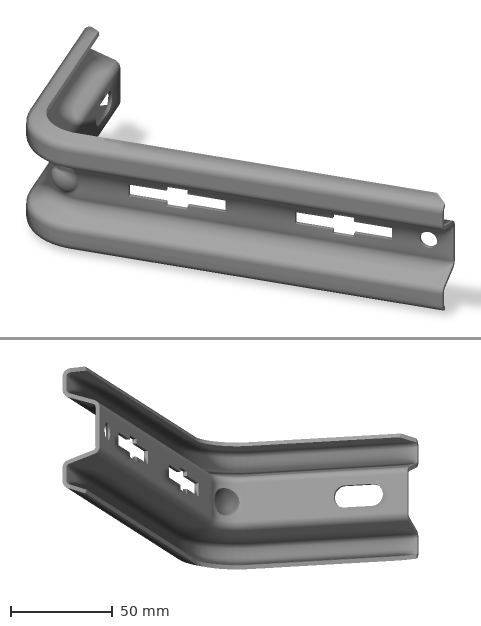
import cadquery as cq
import math

long_leg = 224.0
short_leg = 115.0
height = 63.5

sheet = 2.0
section_depth = 19.0
lip_edge_depth = 9.9
lip_slope = math.radians(15)
flange_slope = math.radians(18)
web_flat_height = 19.3
inside_fold_radius = 2.0
outside_fold_radius = inside_fold_radius + sheet
lip_corner_z = height / 2 - lip_edge_depth * math.tan(lip_slope)

bend_radius = 31.4

lip_trim = 6.0

slot_length = 50.0
slot_height = 6.5
slot_window = 11.0
slot_end_distance = 57.0
slot_pitch = 86.0
slot_count = 2
round_hole_diameter = 9.0
round_hole_end_distance = 13.0
obround_length = 25.0
obround_height = 11.0
obround_end_distance = 25.0

dome_radius = 9.0
dome_center_radius = 11.2
dome_base_fillet = 1.0
selection_margin = 0.2
dome_place = bend_radius - dome_center_radius * math.sqrt(0.5)


def rounded_outline(workplane, corners):
    """Close an outline through (x, y, radius) corners, rounding those with a radius."""
    count = len(corners)
    for i, (x, y, radius) in enumerate(corners):
        corner = cq.Vector(x, y)
        to_previous = (cq.Vector(*corners[i - 1][:2]) - corner).normalized()
        to_next = (cq.Vector(*corners[(i + 1) % count][:2]) - corner).normalized()
        half_angle = to_previous.getAngle(to_next) / 2
        setback = radius / math.tan(half_angle)
        bisector = (to_previous + to_next).normalized()
        start = corner + to_previous * setback
        middle = corner + bisector * (radius / math.sin(half_angle) - radius)
        end = corner + to_next * setback
        if i == 0:
            workplane = workplane.moveTo(start.x, start.y)
        else:
            workplane = workplane.lineTo(start.x, start.y)
        if radius > 0:
            workplane = workplane.threePointArc((middle.x, middle.y), (end.x, end.y))
    return workplane.close()


def section_corners():
    """Corners (depth, z, radius) around the closed sheet section."""
    web_front = section_depth - sheet
    web_setback = inside_fold_radius * math.tan((math.pi / 2 - flange_slope) / 2)
    web_corner_z = web_flat_height / 2 + web_setback
    flange_corner_z = web_corner_z + web_front * math.tan(flange_slope)
    lip_offset = sheet * (1 / math.cos(lip_slope) - math.tan(lip_slope))
    flange_offset = sheet * (1 / math.cos(flange_slope) - math.tan(flange_slope))
    upper_front = [
        (lip_edge_depth, height / 2, 0),
        (0, lip_corner_z, outside_fold_radius),
        (0, flange_corner_z, outside_fold_radius),
        (web_front, web_corner_z, inside_fold_radius),
    ]
    upper_back = [
        (section_depth, web_corner_z + flange_offset, outside_fold_radius),
        (sheet, flange_corner_z + flange_offset, inside_fold_radius),
        (sheet, lip_corner_z - lip_offset, inside_fold_radius),
        (lip_edge_depth + sheet * math.sin(lip_slope), height / 2 - sheet * math.cos(lip_slope), 0),
    ]

    def mirrored(corners):
        return [(depth, -z, radius) for depth, z, radius in reversed(corners)]

    return upper_front + mirrored(upper_front) + mirrored(upper_back) + upper_back


def straight_leg(length):
    """Straight leg along X from the bend to its free end, with the lip corners trimmed."""
    plane = cq.Workplane("YZ", origin=(bend_radius, 0, 0))
    leg = rounded_outline(plane, section_corners()).extrude(length - bend_radius)
    trim_size = 2 * lip_trim
    trim_start = lip_edge_depth - lip_trim
    trim_bottom = lip_corner_z - outside_fold_radius
    trim = (
        cq.Workplane("XY", origin=(length, trim_start, trim_bottom))
        .polyline([(0, 0), (0, trim_size), (-trim_size, trim_size)])
        .close()
        .extrude(height)
    )
    return leg.cut(trim).cut(trim.mirror("XY"))


def long_leg_openings():
    """Slots with square windows and a round hole, cut along Y."""
    def along_web(end_distance):
        return cq.Workplane("XZ", origin=(long_leg - end_distance, 0, 0))

    openings = along_web(round_hole_end_distance).circle(round_hole_diameter / 2).extrude(-section_depth)
    for i in range(slot_count):
        plane = along_web(slot_end_distance + i * slot_pitch)
        openings = openings.union(plane.rect(slot_length, slot_height).extrude(-section_depth))
        openings = openings.union(plane.rect(slot_window, slot_window).extrude(-section_depth))
    return openings


def short_leg_opening():
    """Obround hole, cut along X."""
    return (
        cq.Workplane("YZ", origin=(0, short_leg - obround_end_distance, 0))
        .slot2D(obround_length, obround_height)
        .extrude(section_depth)
    )


def bend():
    """Quarter turn of the section joining the legs."""
    plane = cq.Workplane("YZ", origin=(bend_radius, 0, 0))
    return rounded_outline(plane, section_corners()).revolve(90, (bend_radius, 0, 0), (bend_radius, -1, 0))


def dome_sphere(radius):
    """Sphere on the bend's diagonal that shapes the dome."""
    return cq.Workplane("XY", origin=(dome_place, dome_place, 0)).sphere(radius)


def dome_space():
    """Space in front of the web's back skin, which bounds the dome at the rear."""
    web_back_radius = bend_radius - section_depth
    bend_axis = cq.Workplane("XY", origin=(bend_radius, bend_radius, -height / 2))
    return bend_axis.circle(bend_radius).circle(web_back_radius).extrude(height)


def dome_base_selector():
    """Box, slightly wider than the dome, around the seam between dome and web."""
    reach = dome_radius + selection_margin
    low = (dome_place - reach, dome_place - reach, -reach)
    high = (dome_place + reach, dome_place + reach, reach)
    return cq.selectors.BoxSelector(low, high, boundingbox=True)


long_part = straight_leg(long_leg)
short_part = straight_leg(short_leg).mirror("YZ").rotate((0, 0, 0), (0, 0, 1), -90)
body = long_part.union(bend()).union(short_part)
body = body.cut(long_leg_openings()).cut(short_leg_opening())
body = body.union(dome_sphere(dome_radius).intersect(dome_space()))
body = body.edges(dome_base_selector()).fillet(dome_base_fillet)
result = body.cut(dome_sphere(dome_radius - sheet))